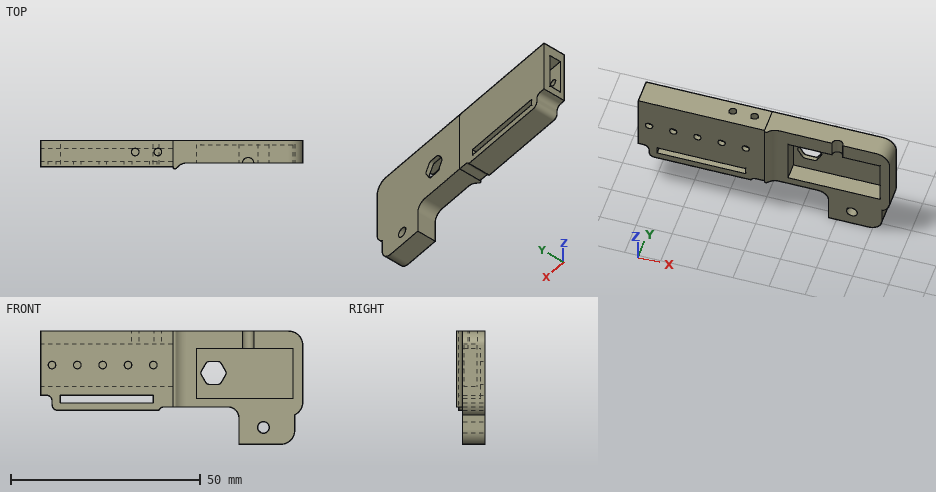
import cadquery as cq
import math

TOP_Z = 30.0
BODY_BOTTOM_Z = 9.9
SEAM_X = 35.0

BARREL_THICKNESS = 7.0
BARREL_END_Z = 13.0
RAIL_BOTTOM_Z = 9.0
RAIL_START_X = 3.0
RAIL_CORNER_R = 1.5
RAIL_RAMP_END_X = 32.6
CHAMBER_HEIGHT = 11.25
CHAMBER_CENTER_Z = 21.0
CHAMBER_BACK_WALL = 2.1
CHAMBER_WIDTH = 3.5
SLOT_START_X = 5.25
SLOT_LENGTH = 24.5
SLOT_BOTTOM_Z = 11.0
SLOT_HEIGHT = 2.0
SMALL_HOLE_D = 2.0
SIDE_HOLE_COUNT = 5
SIDE_HOLE_START_X = 3.0
SIDE_HOLE_PITCH = 6.7
TOP_HOLE_XS = (25.0, 31.0)
TOP_HOLE_FROM_BACK = 3.05

FRAME_END_X = 69.32
FRAME_THICKNESS = 6.0
FRAME_CORNER_R = 3.75
HEEL_CENTER_Z = 11.2
LEG_LEFT_X = 52.4
LEG_RIGHT_X = 67.2
LEG_ROOT_R = 2.9
NOSE_R = 0.5
NOSE_TIP = 7.54
NOSE_BLEND_R = 3.0
NOSE_END_X = 38.5
RECESS_LEFT_X = 41.2
RECESS_RIGHT_X = 66.7
RECESS_BOTTOM_Z = 12.15
RECESS_TOP_Z = 25.4
RECESS_DEPTH = 4.75
HEX_SIDES = 6
HEX_X = 45.7
HEX_Z = 18.9
HEX_FLATS = 6.0
HEX_CORNER_R = 1.0
NOTCH_D = 3.0
NOTCH_X = 54.85
LEG_HOLE_D = 3.0
LEG_HOLE_X = 58.9
LEG_HOLE_Z = 4.5

DIAGONAL = math.sqrt(0.5)


def box(x0, x1, depth0, depth1, z0, z1):
    """Block between two X, two Z and two depths measured forward (-Y) from the back."""
    size = (x1 - x0, depth1 - depth0, z1 - z0)
    return cq.Workplane("XY").box(*size, centered=False).translate((x0, -depth1, z0))


def barrel_outline():
    """Side profile with the rail hanging below and rounded steps at both of its ends."""
    r = RAIL_CORNER_R
    ramp_center_z = BODY_BOTTOM_Z - r
    ramp_start_x = RAIL_RAMP_END_X - math.sqrt(r**2 - (RAIL_BOTTOM_Z - ramp_center_z) ** 2)
    return (
        cq.Workplane("XZ")
        .moveTo(0, TOP_Z)
        .lineTo(0, BARREL_END_Z)
        .lineTo(RAIL_START_X - r, BARREL_END_Z)
        .radiusArc((RAIL_START_X, BARREL_END_Z - r), r)
        .lineTo(RAIL_START_X, RAIL_BOTTOM_Z + r)
        .radiusArc((RAIL_START_X + r, RAIL_BOTTOM_Z), -r)
        .lineTo(ramp_start_x, RAIL_BOTTOM_Z)
        .radiusArc((RAIL_RAMP_END_X, BODY_BOTTOM_Z), r)
        .lineTo(SEAM_X, BODY_BOTTOM_Z)
        .lineTo(SEAM_X, TOP_Z)
        .close()
    )


def make_barrel():
    barrel = barrel_outline().extrude(BARREL_THICKNESS)

    chamber_front = CHAMBER_BACK_WALL + CHAMBER_WIDTH
    chamber_top = CHAMBER_CENTER_Z + CHAMBER_HEIGHT / 2
    chamber_bottom = CHAMBER_CENTER_Z - CHAMBER_HEIGHT / 2
    barrel = barrel.cut(box(0, SEAM_X, CHAMBER_BACK_WALL, chamber_front, chamber_bottom, chamber_top))

    barrel = barrel.cut(
        box(
            SLOT_START_X,
            SLOT_START_X + SLOT_LENGTH,
            0,
            BARREL_THICKNESS,
            SLOT_BOTTOM_Z,
            SLOT_BOTTOM_Z + SLOT_HEIGHT,
        )
    )

    chamber_middle = CHAMBER_BACK_WALL + CHAMBER_WIDTH / 2
    side_hole_xs = [SIDE_HOLE_START_X + i * SIDE_HOLE_PITCH for i in range(SIDE_HOLE_COUNT)]
    side_holes = (
        cq.Workplane("XZ", origin=(0, -chamber_middle, 0))
        .pushPoints([(x, CHAMBER_CENTER_Z) for x in side_hole_xs])
        .circle(SMALL_HOLE_D / 2)
        .extrude(BARREL_THICKNESS - chamber_middle)
    )

    top_holes = (
        cq.Workplane("XY", origin=(0, 0, chamber_top))
        .pushPoints([(x, -TOP_HOLE_FROM_BACK) for x in TOP_HOLE_XS])
        .circle(SMALL_HOLE_D / 2)
        .extrude(TOP_Z - chamber_top)
    )
    return barrel.cut(side_holes).cut(top_holes)


def frame_outline():
    """Side profile: rounded rear end and a leg below, with the heel arc running into the leg."""
    r = FRAME_CORNER_R
    arc_center_x = FRAME_END_X - r
    heel_end_z = HEEL_CENTER_Z - math.sqrt(r**2 - (LEG_RIGHT_X - arc_center_x) ** 2)
    return (
        cq.Workplane("XZ")
        .moveTo(SEAM_X, TOP_Z)
        .lineTo(arc_center_x, TOP_Z)
        .radiusArc((FRAME_END_X, TOP_Z - r), r)
        .lineTo(FRAME_END_X, HEEL_CENTER_Z)
        .radiusArc((LEG_RIGHT_X, heel_end_z), r)
        .lineTo(LEG_RIGHT_X, r)
        .radiusArc((LEG_RIGHT_X - r, 0), r)
        .lineTo(LEG_LEFT_X, 0)
        .lineTo(LEG_LEFT_X, BODY_BOTTOM_Z - LEG_ROOT_R)
        .radiusArc((LEG_LEFT_X - LEG_ROOT_R, BODY_BOTTOM_Z), -LEG_ROOT_R)
        .lineTo(SEAM_X, BODY_BOTTOM_Z)
        .close()
    )


def make_nose():
    """Ridge along the seam: a round tip, a 45 degree flank and a hollow blend into the frame."""
    tip_x = SEAM_X + NOSE_R
    tip_center_y = NOSE_R - NOSE_TIP
    flank_start = (tip_x + NOSE_R * DIAGONAL, tip_center_y - NOSE_R * DIAGONAL)
    blend_start = (
        NOSE_END_X - NOSE_BLEND_R * DIAGONAL,
        -FRAME_THICKNESS - NOSE_BLEND_R * (1 - DIAGONAL),
    )
    return (
        cq.Workplane("XY", origin=(0, 0, BODY_BOTTOM_Z))
        .moveTo(SEAM_X, -FRAME_THICKNESS)
        .lineTo(SEAM_X, tip_center_y)
        .threePointArc((tip_x, -NOSE_TIP), flank_start)
        .lineTo(*blend_start)
        .radiusArc((NOSE_END_X, -FRAME_THICKNESS), NOSE_BLEND_R)
        .close()
        .extrude(TOP_Z - BODY_BOTTOM_Z)
    )


def make_frame():
    frame = frame_outline().extrude(FRAME_THICKNESS).union(make_nose())

    recess_floor = FRAME_THICKNESS - RECESS_DEPTH
    frame = frame.cut(
        box(RECESS_LEFT_X, RECESS_RIGHT_X, recess_floor, FRAME_THICKNESS, RECESS_BOTTOM_Z, RECESS_TOP_Z)
    )

    hex_across_corners = HEX_FLATS / math.cos(math.pi / HEX_SIDES)
    hex_window = (
        cq.Workplane("XZ")
        .center(HEX_X, HEX_Z)
        .polygon(HEX_SIDES, hex_across_corners)
        .extrude(recess_floor)
        .edges("|Y")
        .fillet(HEX_CORNER_R)
    )

    notch = (
        cq.Workplane("XY", origin=(NOTCH_X, -FRAME_THICKNESS, RECESS_TOP_Z))
        .circle(NOTCH_D / 2)
        .extrude(TOP_Z - RECESS_TOP_Z)
    )

    leg_hole = (
        cq.Workplane("XZ")
        .center(LEG_HOLE_X, LEG_HOLE_Z)
        .circle(LEG_HOLE_D / 2)
        .extrude(FRAME_THICKNESS)
    )
    return frame.cut(hex_window).cut(notch).cut(leg_hole)


barrel = make_barrel()
frame = make_frame()
result = cq.Compound.makeCompound([barrel.val(), frame.val()])